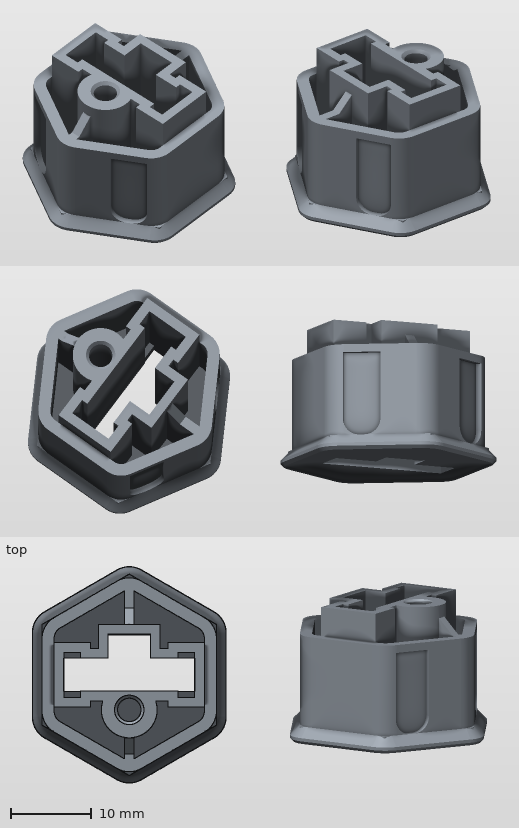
import cadquery as cq
import math

total_height = 17.0
shell_height = 13.4
floor_height = 2.0

flange_apothem = 12.0
flange_draft = 1.2
flange_foot_chamfer = 0.4
outer_corner_radius = 3.0
shell_wall = 1.5
inner_corner_radius = 1.5
shell_apothem = flange_apothem - flange_draft
cavity_apothem = shell_apothem - shell_wall

panel_width = 4.63
panel_depth = 0.75
panel_top = 12.4
panel_corner_radius = 2.0

housing_wall = 1.2
bar_half_length = cavity_apothem
bar_half_width = 4.0
stem_half_width = 3.83
stem_end = 6.25
notch_depth = 0.72
notch_outer_x = 4.82

slot_half_length = bar_half_length - housing_wall
slot_back = 2.05
slot_front = -1.98
end_pocket_half_width = bar_half_width - housing_wall
end_pocket_inner_x = 6.03
stem_floor_lip = 0.08

boss_radius = 3.45
boss_y = -4.35
hole_diameter = 2.9
hole_chamfer = 0.37

rib_thickness = 1.2
rib_top = 15.4


def hexagon(apothem, height, corner_radius=0):
    """Hexagonal prism on Z = 0 with flats facing +X and -X."""
    corner_distance = apothem / math.cos(math.pi / 6)
    prism = (
        cq.Workplane("XY")
        .polygon(6, 2 * corner_distance)
        .extrude(height)
        .rotate((0, 0, 0), (0, 0, 1), 30)
    )
    if corner_radius:
        prism = prism.edges("|Z").fillet(corner_radius)
    return prism


def block(x_min, x_max, y_min, y_max, z_min, z_max):
    return cq.Workplane("XY").box(
        x_max - x_min, y_max - y_min, z_max - z_min, centered=False
    ).translate((x_min, y_min, z_min))


def make_shell():
    """Cup with a tapered base flange around a sharp-cornered hexagonal core."""
    flange = hexagon(flange_apothem, floor_height, outer_corner_radius)
    flange = flange.faces(">Z").chamfer(flange_draft)
    flange = flange.faces("<Z").chamfer(flange_foot_chamfer)
    core = hexagon(shell_apothem, floor_height - flange_foot_chamfer)
    core = core.translate((0, 0, flange_foot_chamfer))
    wall = hexagon(shell_apothem, shell_height, outer_corner_radius)
    cavity = hexagon(cavity_apothem, shell_height, inner_corner_radius)
    return flange.union(core).union(wall).cut(cavity.translate((0, 0, floor_height)))


def cut_panels(body):
    """Sink a panel from the middle of each slanted face towards the side corner."""
    panel_floor = hexagon(shell_apothem - panel_depth, shell_height, outer_corner_radius)
    panel = (
        block(0, panel_width, -shell_wall, shell_wall, floor_height, panel_top)
        .edges("|Y and <Z")
        .fillet(panel_corner_radius)
        .translate((0, shell_apothem, 0))
        .rotate((0, 0, 0), (0, 0, 1), -30)
        .cut(panel_floor)
    )
    for cutter in (panel, panel.mirror("XZ")):
        body = body.cut(cutter).cut(cutter.mirror("YZ"))
    return body


def make_housing():
    """Solid T-shaped block with the screw boss on its -Y side."""
    bar = block(-bar_half_length, bar_half_length, -bar_half_width, bar_half_width, 0, total_height)
    notch_floor = bar_half_width - notch_depth
    notch_strip = block(
        -notch_outer_x, notch_outer_x, notch_floor, bar_half_width, floor_height, total_height,
    )
    bar = bar.cut(notch_strip).cut(notch_strip.mirror("XZ"))
    stem = block(-stem_half_width, stem_half_width, 0, stem_end, 0, total_height)
    boss = cq.Workplane("XY").center(0, boss_y).circle(boss_radius).extrude(total_height)
    return bar.union(stem).union(boss)


def make_rib(housing_face):
    """Rib from the given distance off centre to the shell corner, towards +Y."""
    slope_run = rib_top - shell_height
    inner_reach = housing_face - housing_wall / 2
    return (
        cq.Workplane("YZ")
        .moveTo(inner_reach, 0)
        .lineTo(shell_apothem, 0)
        .lineTo(shell_apothem, shell_height)
        .lineTo(housing_face + slope_run, shell_height)
        .lineTo(housing_face, rib_top)
        .lineTo(inner_reach, rib_top)
        .close()
        .extrude(rib_thickness / 2, both=True)
    )


def cut_opening(body):
    """Through T-shaped opening with floor ledges at the bar ends and a thin floor lip in the stem."""
    bar = block(-slot_half_length, slot_half_length, slot_front, slot_back, 0, total_height)
    stem_half_opening = stem_half_width - housing_wall
    stem_back = stem_end - housing_wall
    stem = block(
        -stem_half_opening, stem_half_opening, slot_front, stem_back, floor_height, total_height,
    )
    stem_floor = block(
        -stem_half_opening, stem_half_opening, slot_front, stem_back - stem_floor_lip, 0, floor_height
    )
    end_opening = block(end_pocket_inner_x, slot_half_length, -slot_back, slot_back, 0, total_height)
    end_pocket = block(
        end_pocket_inner_x, slot_half_length, -end_pocket_half_width, end_pocket_half_width,
        floor_height, total_height,
    )
    ends = end_opening.union(end_pocket)
    return body.cut(bar).cut(stem).cut(stem_floor).cut(ends).cut(ends.mirror("YZ"))


def cut_boss_hole(body):
    """Blind screw hole down to floor level with a chamfered mouth."""
    hole_radius = hole_diameter / 2
    profile = (
        cq.Workplane("XZ")
        .moveTo(0, floor_height)
        .lineTo(hole_radius, floor_height)
        .lineTo(hole_radius, total_height - hole_chamfer)
        .lineTo(hole_radius + hole_chamfer, total_height)
        .lineTo(0, total_height)
        .close()
    )
    hole = profile.revolve(360, (0, 0), (0, 1))
    return body.cut(hole.translate((0, boss_y, 0)))


boss_face = boss_radius - boss_y
body = cut_panels(make_shell())
body = body.union(make_rib(stem_end)).union(make_rib(boss_face).mirror("XZ"))
body = body.union(make_housing())
body = cut_opening(body)
result = cut_boss_hole(body)